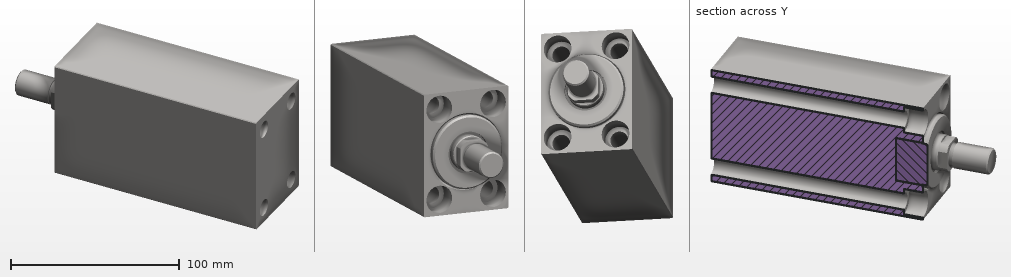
import cadquery as cq

TOTAL_LENGTH = 172.0

FACE_X = 37.0
BLOCK_WIDTH = 55.0
BLOCK_HEIGHT = 75.0
EDGE_CHAMFER = 0.5
BOLT_SPACING_Y = 35.0
BOLT_SPACING_Z = 55.0
BOLT_DIAMETER = 10.7
BOLT_HEAD_DIAMETER = 16.7
BOLT_HEAD_DEPTH = 12.0
RECESS_DEPTH = 17.2
RECESS_CHAMFER = 0.9

GLAND_DIAMETER = 45.0
GLAND_PROJECTION = 3.0
GLAND_CHAMFER = 1.0

WIPER_DIAMETER = 25.5
WIPER_LENGTH = 5.2
WIPER_SETBACK = 1.7

ROD_DIAMETER = 22.0
ROD_SHOULDER_X = 30.6
ROD_CHAMFER = 0.5
WRENCH_X = 25.1
WRENCH_DIAMETER = 21.0
WRENCH_ACROSS_FLATS = 18.0
THREAD_DIAMETER = 16.0
THREAD_LENGTH = 22.4
TIP_CHAMFER = 0.9
NECK_DIAMETER = 14.0
NECK_FILLET = 0.5

BLOCK_LENGTH = TOTAL_LENGTH - FACE_X
GLAND_FACE_X = FACE_X - GLAND_PROJECTION
RECESS_FLOOR_X = FACE_X + RECESS_DEPTH
WIPER_START_X = GLAND_FACE_X + WIPER_SETBACK
WIPER_END_X = WIPER_START_X + WIPER_LENGTH


def plane_at(x):
    """Workplane at the given X, facing +X, with local axes along Y and Z."""
    return cq.Workplane("YZ", origin=(x, 0, 0))


def cylinder(start_x, end_x, diameter):
    """Cylinder on the rod axis between two X positions."""
    return plane_at(start_x).circle(diameter / 2).extrude(end_x - start_x)


def bolt_holes(diameter, depth):
    """Four cylinders on the bolt pattern, going into the block from its front face."""
    return (
        plane_at(FACE_X)
        .rect(BOLT_SPACING_Y, BOLT_SPACING_Z, forConstruction=True)
        .vertices()
        .circle(diameter / 2)
        .extrude(depth)
    )


def make_block():
    """Rectangular housing with counterbored bolt holes and a recess for the gland."""
    block = plane_at(FACE_X).rect(BLOCK_WIDTH, BLOCK_HEIGHT).extrude(BLOCK_LENGTH)
    block = block.edges("|X").chamfer(EDGE_CHAMFER)
    block = block.cut(bolt_holes(BOLT_DIAMETER, BLOCK_LENGTH))
    block = block.cut(bolt_holes(BOLT_HEAD_DIAMETER, BOLT_HEAD_DEPTH))

    recess = cylinder(FACE_X, RECESS_FLOOR_X, GLAND_DIAMETER)
    bore_radius = GLAND_DIAMETER / 2
    mouth = cq.Solid.makeCone(
        bore_radius + RECESS_CHAMFER,
        bore_radius,
        RECESS_CHAMFER,
        pnt=cq.Vector(FACE_X, 0, 0),
        dir=cq.Vector(1, 0, 0),
    )
    return block.cut(recess).cut(mouth)


def make_gland():
    """Guide bush with a rod bore and a wider seat for the wiper at its front face."""
    gland = cylinder(GLAND_FACE_X, RECESS_FLOOR_X, GLAND_DIAMETER)
    gland = gland.faces("<X").chamfer(GLAND_CHAMFER)
    gland = gland.cut(cylinder(GLAND_FACE_X, RECESS_FLOOR_X, ROD_DIAMETER))
    return gland.cut(cylinder(GLAND_FACE_X, WIPER_END_X, WIPER_DIAMETER))


def make_wiper():
    """Plain ring around the rod at the bottom of the gland seat, set back from the gland face."""
    ring = cylinder(WIPER_START_X, WIPER_END_X, WIPER_DIAMETER)
    return ring.cut(cylinder(WIPER_START_X, WIPER_END_X, ROD_DIAMETER))


def make_rod():
    """Piston rod: threaded end, undercut neck, four wrench flats and full-diameter rod."""
    thread = cylinder(0, THREAD_LENGTH, THREAD_DIAMETER)
    neck = cylinder(THREAD_LENGTH, WRENCH_X, NECK_DIAMETER)
    wrench = cylinder(WRENCH_X, ROD_SHOULDER_X, WRENCH_DIAMETER)
    flats = (
        plane_at(WRENCH_X)
        .rect(WRENCH_ACROSS_FLATS, WRENCH_ACROSS_FLATS)
        .extrude(ROD_SHOULDER_X - WRENCH_X)
    )
    rod = cylinder(ROD_SHOULDER_X, RECESS_FLOOR_X, ROD_DIAMETER).faces("<X").chamfer(ROD_CHAMFER)
    rod = rod.union(wrench.intersect(flats)).union(neck).union(thread)

    neck_ends = cq.selectors.RadiusNthSelector(0)
    rod = rod.edges("%CIRCLE").edges(neck_ends).fillet(NECK_FILLET)
    return rod.faces("<X").chamfer(TIP_CHAMFER)


block = make_block()
gland = make_gland()
wiper = make_wiper()
rod = make_rod()

result = cq.Compound.makeCompound([block.val(), gland.val(), wiper.val(), rod.val()])